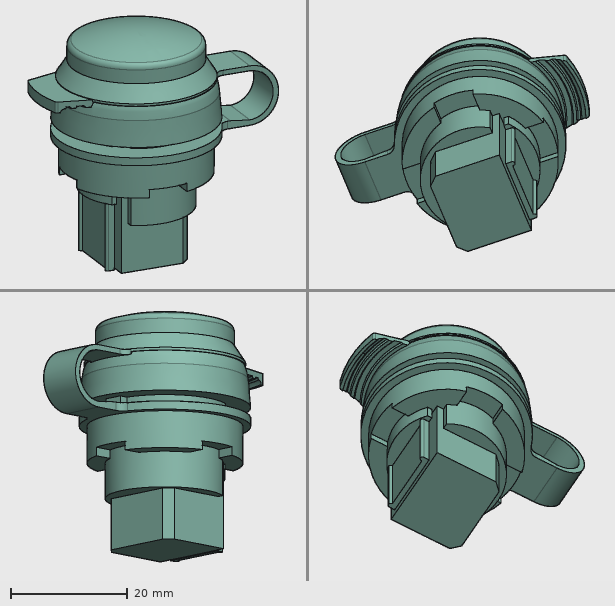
import cadquery as cq
import math

TOP_Z = 41.1

CAP_BOTTOM_Z = 25.02
CAP_BOTTOM_RADIUS = 14.75
SKIRT_TOP_Z = 29.8
SKIRT_TOP_RADIUS = 14.35
BAND_BOTTOM_Z = 32.25
BAND_TOP_Z = 32.7
BAND_RADIUS = 13.9
SHOULDER_RADIUS = 13.7
CONE_TOP_Z = 35.7
CROWN_RADIUS = 11.95
CROWN_TOP_Z = 38.2
DOME_EDGE_Z = 39.3
DOME_EDGE_RADIUS = 11.25

FLANGE_TOP_Z = 23.15
FLANGE_BOTTOM_Z = 21.7
FLANGE_RADIUS = 29.5 / 2
COLLAR_BOTTOM_Z = 15.2
COLLAR_RADIUS = 13.4
NOTCH_WIDTH = 7.12
NOTCH_HEIGHT = 1.5

CORE_RADIUS = 10.3
LIP_RADIUS = 10.9
LIP_BOTTOM_Z = 23.93
BODY_HALF_WIDTH = 7.85
BODY_FRONT_Y = -6.45
BODY_BACK_Y = 6.75
BODY_CHAMFER = 1.5
BARREL_BOTTOM_Z = 8.95
BARREL_FRONT_Y = -5.2
SLIT_WIDTH = 0.45
SLIT_FRONT_Y = BODY_FRONT_Y - SLIT_WIDTH
BOSS_HALF_WIDTH = 6.77
BOSS_BOTTOM_Z = 12.45

PLATE_HALF_WIDTH = 5.85
PLATE_FRONT_Y = -8.4
RAIL_ROUND = 0.45
RECESS_DEPTH = 0.53
RECESS_HALF_WIDTH = 5.25
RECESS_FLOOR_HALF_WIDTH = 4.93

LUG_BACK_Y = 12.35
LUG_WIDTH = 3.5

STRAP_WIDTH = 7.9
STRAP_TOP_Z = 32.65
STRAP_BACK_Y = 25.15
STRAP_ROOT_Y = 8.8
STRAP_THICKNESS = 0.92
STRAP_BACK_THICKNESS = 1.05
STRAP_LOW_THICKNESS = 1.0
RAMP_START_Y = 15.95
ROOT_FILLET = 1.75

TAB_REACH = 18.82
TAB_UNDERSIDE_Z = 31.25
TAB_LIP_Z = 30.6
TAB_LIP_RADIUS = 18.2
TAB_ROOT_HALF_WIDTH = 8.2
TAB_ROOT_Y = -8.8
TAB_TAPER = 0.26
TAB_CORNER_ROUND = 0.6
GRIP_DEPTH = 0.35
GRIP_SLOPE_WIDTH = 0.2
GRIP_GROOVES = ((14.7, 16.05), (16.62, 17.5))


def disc(radius, bottom, top):
    return cq.Workplane("XY", origin=(0, 0, bottom)).circle(radius).extrude(top - bottom)


def block(x_min, x_max, y_min, y_max, z_min, z_max):
    size = (x_max - x_min, y_max - y_min, z_max - z_min)
    return cq.Workplane("XY").box(*size, centered=False).translate((x_min, y_min, z_min))


def make_cap():
    profile = (
        cq.Workplane("XZ")
        .moveTo(0, CAP_BOTTOM_Z)
        .lineTo(CAP_BOTTOM_RADIUS, CAP_BOTTOM_Z)
        .lineTo(SKIRT_TOP_RADIUS, SKIRT_TOP_Z)
        .tangentArcPoint((SHOULDER_RADIUS, BAND_BOTTOM_Z), relative=False)
        .lineTo(BAND_RADIUS, BAND_BOTTOM_Z)
        .lineTo(BAND_RADIUS, BAND_TOP_Z)
        .lineTo(CROWN_RADIUS, CONE_TOP_Z)
        .lineTo(CROWN_RADIUS, CROWN_TOP_Z)
        .tangentArcPoint((DOME_EDGE_RADIUS, DOME_EDGE_Z), relative=False)
    )
    rise = TOP_Z - DOME_EDGE_Z
    sphere_radius = (DOME_EDGE_RADIUS**2 + rise**2) / (2 * rise)
    half_angle = math.asin(DOME_EDGE_RADIUS / sphere_radius) / 2
    middle = (
        sphere_radius * math.sin(half_angle),
        TOP_Z - sphere_radius * (1 - math.cos(half_angle)),
    )
    profile = profile.threePointArc(middle, (0, TOP_Z)).close()
    return profile.revolve(360, (0, 0, 0), (0, 1, 0))


def make_collar():
    collar = disc(COLLAR_RADIUS, COLLAR_BOTTOM_Z, FLANGE_BOTTOM_Z)
    notch_top = COLLAR_BOTTOM_Z + NOTCH_HEIGHT
    half = NOTCH_WIDTH / 2
    notch = block(0, FLANGE_RADIUS, -half, half, COLLAR_BOTTOM_Z, notch_top)
    notch = notch.cut(disc(CORE_RADIUS, COLLAR_BOTTOM_Z, notch_top))
    for angle in (0, 90, 180, 270):
        collar = collar.cut(notch.rotate((0, 0, 0), (0, 0, 1), angle))
    return collar.union(disc(FLANGE_RADIUS, FLANGE_BOTTOM_Z, FLANGE_TOP_Z))


def stepped_cylinder(bottom):
    """Core cylinder with a wider lip just under the cap."""
    return disc(CORE_RADIUS, bottom, CAP_BOTTOM_Z).union(disc(LIP_RADIUS, LIP_BOTTOM_Z, CAP_BOTTOM_Z))


def make_core():
    barrel_zone = block(
        -LIP_RADIUS, LIP_RADIUS, BARREL_FRONT_Y, LIP_RADIUS, BARREL_BOTTOM_Z, CAP_BOTTOM_Z
    )
    barrel = stepped_cylinder(BARREL_BOTTOM_Z).intersect(barrel_zone)
    body = block(-BODY_HALF_WIDTH, BODY_HALF_WIDTH, BODY_FRONT_Y, BODY_BACK_Y, 0, CAP_BOTTOM_Z)
    body = body.edges("|Z and >Y").chamfer(BODY_CHAMFER)
    boss_zone = block(
        -BOSS_HALF_WIDTH, BOSS_HALF_WIDTH, -LIP_RADIUS, SLIT_FRONT_Y, BOSS_BOTTOM_Z, CAP_BOTTOM_Z
    )
    boss = stepped_cylinder(BOSS_BOTTOM_Z).intersect(boss_zone)
    lug = block(-LUG_WIDTH / 2, LUG_WIDTH / 2, 0, LUG_BACK_Y, FLANGE_TOP_Z, CAP_BOTTOM_Z)
    return barrel.union(body).union(boss).union(lug)


def make_front_plate():
    plate = block(
        -PLATE_HALF_WIDTH, PLATE_HALF_WIDTH, PLATE_FRONT_Y, SLIT_FRONT_Y, 0, BOSS_BOTTOM_Z
    )
    plate = plate.edges("|Z and <Y").fillet(RAIL_ROUND)
    floor_y = PLATE_FRONT_Y + RECESS_DEPTH
    recess = (
        cq.Workplane("XY")
        .moveTo(-RECESS_HALF_WIDTH, PLATE_FRONT_Y)
        .lineTo(RECESS_HALF_WIDTH, PLATE_FRONT_Y)
        .lineTo(RECESS_FLOOR_HALF_WIDTH, floor_y)
        .lineTo(-RECESS_FLOOR_HALF_WIDTH, floor_y)
        .close()
        .extrude(BOSS_BOTTOM_Z)
    )
    return plate.cut(recess)


def strap_root(radius, bottom, top):
    """Disc with a strap end on it, the inner corners between them filleted."""
    half = STRAP_WIDTH / 2
    arm = block(-half, half, 0, STRAP_BACK_Y, bottom, top)
    joined = disc(radius, bottom, top).union(arm)
    joined = joined.edges("|Z").edges(">>Y[-2]").fillet(ROOT_FILLET)
    centre_x = half + ROOT_FILLET
    centre_radius = radius + ROOT_FILLET
    end_y = math.sqrt(centre_radius**2 - centre_x**2)
    kept_half = centre_x * radius / centre_radius
    kept = block(-kept_half, kept_half, STRAP_ROOT_Y, end_y, bottom, top)
    return joined.intersect(kept)


def make_strap():
    loop_radius = (STRAP_TOP_Z - FLANGE_BOTTOM_Z) / 2
    loop_z = STRAP_TOP_Z - loop_radius
    loop_y = STRAP_BACK_Y - loop_radius
    inner_top = STRAP_TOP_Z - STRAP_THICKNESS
    inner_bottom = FLANGE_BOTTOM_Z + STRAP_LOW_THICKNESS
    inner_middle = (inner_top + inner_bottom) / 2
    band = (
        cq.Workplane("YZ")
        .moveTo(STRAP_ROOT_Y, STRAP_TOP_Z)
        .lineTo(loop_y, STRAP_TOP_Z)
        .threePointArc((STRAP_BACK_Y, loop_z), (loop_y, FLANGE_BOTTOM_Z))
        .lineTo(STRAP_ROOT_Y, FLANGE_BOTTOM_Z)
        .lineTo(STRAP_ROOT_Y, FLANGE_TOP_Z)
        .lineTo(RAMP_START_Y, FLANGE_TOP_Z)
        .lineTo(loop_y, inner_bottom)
        .threePointArc((STRAP_BACK_Y - STRAP_BACK_THICKNESS, inner_middle), (loop_y, inner_top))
        .lineTo(STRAP_ROOT_Y, inner_top)
        .close()
        .extrude(STRAP_WIDTH / 2, both=True)
    )
    upper_root = strap_root(BAND_RADIUS, inner_top, STRAP_TOP_Z)
    lower_root = strap_root(FLANGE_RADIUS, FLANGE_BOTTOM_Z, FLANGE_TOP_Z)
    return band.union(upper_root).union(lower_root)


def make_tab():
    tip_half_width = TAB_ROOT_HALF_WIDTH - TAB_TAPER * (TAB_REACH + TAB_ROOT_Y)
    tapered = (
        cq.Workplane("XY", origin=(0, 0, TAB_LIP_Z))
        .moveTo(-TAB_ROOT_HALF_WIDTH, TAB_ROOT_Y)
        .lineTo(TAB_ROOT_HALF_WIDTH, TAB_ROOT_Y)
        .lineTo(tip_half_width, -TAB_REACH)
        .lineTo(-tip_half_width, -TAB_REACH)
        .close()
        .extrude(STRAP_TOP_Z - TAB_LIP_Z)
    )
    tab = tapered.intersect(disc(TAB_REACH, TAB_LIP_Z, STRAP_TOP_Z))
    tab = tab.edges("|Z").edges("<Y").fillet(TAB_CORNER_ROUND)

    cove = TAB_UNDERSIDE_Z - TAB_LIP_Z
    hollow = (
        cq.Workplane("XZ")
        .moveTo(0, TAB_LIP_Z)
        .lineTo(TAB_LIP_RADIUS, TAB_LIP_Z)
        .radiusArc((TAB_LIP_RADIUS - cove, TAB_UNDERSIDE_Z), -cove)
        .lineTo(0, TAB_UNDERSIDE_Z)
        .close()
        .revolve(360, (0, 0, 0), (0, 1, 0))
    )
    tab = tab.cut(hollow)

    groove_top = TAB_UNDERSIDE_Z + GRIP_DEPTH
    for inner, outer in GRIP_GROOVES:
        groove = (
            cq.Workplane("XZ")
            .moveTo(inner, TAB_UNDERSIDE_Z)
            .lineTo(outer, TAB_UNDERSIDE_Z)
            .lineTo(outer - GRIP_SLOPE_WIDTH, groove_top)
            .lineTo(inner + GRIP_SLOPE_WIDTH, groove_top)
            .close()
            .revolve(360, (0, 0, 0), (0, 1, 0))
        )
        tab = tab.cut(groove)
    return tab


result = make_cap()
for piece in (make_collar(), make_core(), make_front_plate(), make_strap(), make_tab()):
    result = result.union(piece)